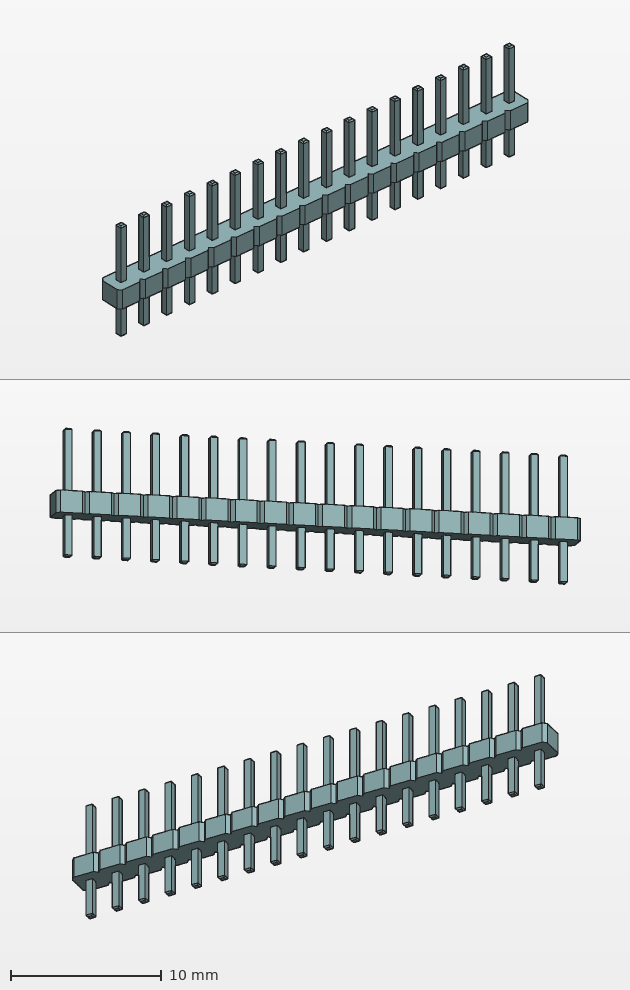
import cadquery as cq

pin_count = 18
row_length = 36.0
pitch = row_length / pin_count

body_width = pitch
body_height = 1.5
corner_chamfer = 0.25

pin_width = 0.5
pin_height_above = 4.4
pin_height_below = 2.8
pin_length = pin_height_below + body_height + pin_height_above
tip_chamfer = 0.1

cell_centres = [(0, (index - (pin_count - 1) / 2) * pitch) for index in range(pin_count)]


def make_cell():
    """One insulator cell standing on the XY plane, with chamfered vertical corners."""
    block = cq.Workplane("XY").box(body_width, pitch, body_height, centered=(True, True, False))
    return block.edges("|Z").chamfer(corner_chamfer)


def make_pin():
    """One square pin with tapered tips, passing through the cell at the origin."""
    bar = cq.Workplane("XY").box(pin_width, pin_width, pin_length, centered=(True, True, False))
    tapered_bar = bar.faces("<Z or >Z").edges().chamfer(tip_chamfer)
    return tapered_bar.translate((0, 0, -pin_height_below))


def repeat_along_row(shape):
    """Place a copy of the shape at every cell centre."""
    solid = shape.val()
    return cq.Workplane("XY").pushPoints(cell_centres).eachpoint(lambda place: solid.moved(place), combine=True)


body = repeat_along_row(make_cell())
pins = repeat_along_row(make_pin())
result = body.union(pins, clean=True)